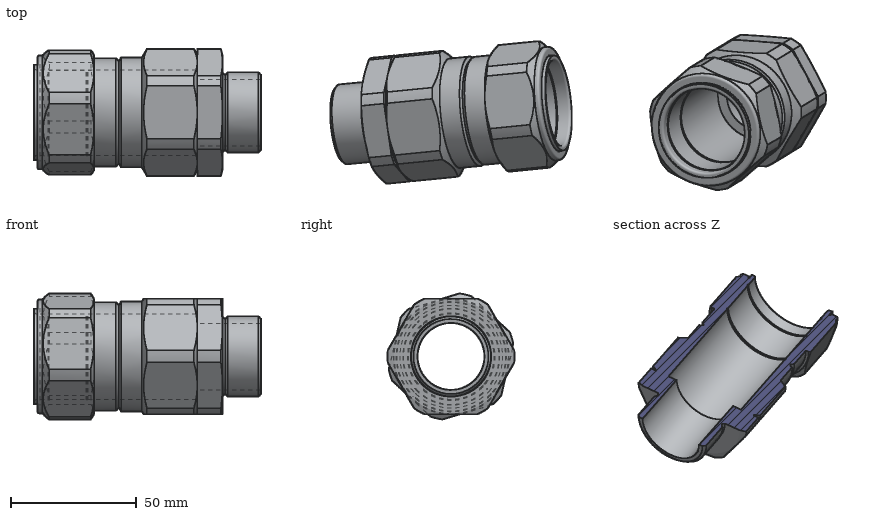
import cadquery as cq
import math

across_flats = 46.0
corner_radius = 0.55 * across_flats
flat_radius = across_flats / 2
nut_turn = 16.95
hex_chamfer_angle = 30.0

nut_face_x = 1.36
nut_lip_end_x = 3.4
liner_gap_depth = 1.0
nut_end_x = 23.95
sleeve_end_x = 33.8
ring_end_x = 42.8
entry_start_x = 64.9
entry_end_x = 75.0
neck_x = 75.95
total_length = 90.25

liner_radius = 19.0
nut_mouth_radius = 19.25
nut_lip_radius = 22.7
sleeve_radius = 21.6
ring_radius = 21.9
seam_groove_radius = 20.4
entry_thread_radius = 16.0
neck_radius = 14.9

nut_lip_fillet = 1.0
nut_rear_radius = 22.8
entry_rear_radius = 22.6
entry_chamfer_angle = 15.0
sleeve_chamfer = sleeve_radius - seam_groove_radius
ring_chamfer_length = 0.8
ring_end_flare = 0.35
neck_lip_radius = 15.8
thread_chamfer = entry_thread_radius - neck_radius

liner_bore_radius = 17.0
liner_mouth_fillet = 1.0
seam_x = 5.5
seam_width = 0.4
seam_depth = 0.3
liner_end_x = 20.6
liner_groove_width = 0.8
liner_groove_depth = liner_groove_width / 2
chamber_end_x = entry_start_x
through_bore_radius = 13.25


def revolve_profile(points):
    """Turn a closed (x, radius) outline about the X axis."""
    return cq.Workplane("XY").polyline(points).close().revolve(360, (0, 0, 0), (1, 0, 0))


def cylinder(start, end, radius):
    return cq.Workplane("YZ").workplane(offset=start).circle(radius).extrude(end - start)


def chamfer_length(start_radius, end_radius, angle):
    return (end_radius - start_radius) * math.tan(math.radians(angle))


def hexagon(envelope, start, end, turn=0.0):
    """Hexagonal prism with corners on +/-Y, trimmed by a turned envelope."""
    prism = (
        cq.Workplane("YZ")
        .workplane(offset=start)
        .polygon(6, across_flats / math.cos(math.pi / 6))
        .extrude(end - start)
        .rotate((0, 0, 0), (1, 0, 0), turn)
    )
    return prism.intersect(revolve_profile(envelope))


def make_nut():
    front_chamfer = corner_radius - nut_lip_radius
    rear_chamfer = chamfer_length(nut_rear_radius, corner_radius, hex_chamfer_angle)
    envelope = [
        (nut_lip_end_x, 0),
        (nut_lip_end_x, nut_lip_radius),
        (nut_lip_end_x + front_chamfer, corner_radius),
        (nut_end_x - rear_chamfer, corner_radius),
        (nut_end_x, nut_rear_radius),
        (nut_end_x, 0),
    ]
    lip = cylinder(nut_face_x, nut_lip_end_x, nut_lip_radius).faces("<X").edges().fillet(nut_lip_fillet)
    return lip.union(hexagon(envelope, nut_lip_end_x, nut_end_x, nut_turn))


def make_sleeve_and_ring():
    return revolve_profile([
        (nut_end_x, 0),
        (nut_end_x, sleeve_radius),
        (sleeve_end_x - sleeve_chamfer, sleeve_radius),
        (sleeve_end_x, seam_groove_radius),
        (sleeve_end_x + ring_chamfer_length, ring_radius),
        (ring_end_x, ring_radius),
        (ring_end_x, 0),
    ])


def make_body_hexagon():
    flare_end_x = ring_end_x + ring_end_flare
    flare_radius = ring_radius + ring_end_flare
    front_chamfer = chamfer_length(flare_radius, corner_radius, hex_chamfer_angle)
    rear_chamfer = chamfer_length(flat_radius, corner_radius, hex_chamfer_angle)
    envelope = [
        (ring_end_x, 0),
        (ring_end_x, ring_radius),
        (flare_end_x, flare_radius),
        (flare_end_x + front_chamfer, corner_radius),
        (entry_start_x - rear_chamfer, corner_radius),
        (entry_start_x, flat_radius),
        (entry_start_x, 0),
    ]
    return hexagon(envelope, ring_end_x, entry_start_x)


def make_entry_hexagon():
    rear_chamfer = chamfer_length(entry_rear_radius, corner_radius, entry_chamfer_angle)
    envelope = [
        (entry_start_x, 0),
        (entry_start_x, corner_radius),
        (entry_end_x - rear_chamfer, corner_radius),
        (entry_end_x, entry_rear_radius),
        (entry_end_x, 0),
    ]
    return hexagon(envelope, entry_start_x, entry_end_x)


def make_entry_thread():
    return revolve_profile([
        (entry_end_x, 0),
        (entry_end_x, neck_lip_radius),
        (neck_x, neck_radius),
        (neck_x + thread_chamfer, entry_thread_radius),
        (total_length - thread_chamfer, entry_thread_radius),
        (total_length, neck_radius),
        (total_length, 0),
    ])


def make_bore():
    """Rounded mouth, chamber with two fine grooves, then the narrower through bore."""
    seam_radius = liner_bore_radius + seam_depth
    groove_radius = liner_bore_radius + liner_groove_depth
    mouth_mid = liner_mouth_fillet * (1 - math.sqrt(0.5))
    return (
        cq.Workplane("XY")
        .moveTo(0, 0)
        .lineTo(0, liner_bore_radius + liner_mouth_fillet)
        .threePointArc(
            (mouth_mid, liner_bore_radius + mouth_mid),
            (liner_mouth_fillet, liner_bore_radius),
        )
        .lineTo(seam_x, liner_bore_radius)
        .lineTo(seam_x, seam_radius)
        .lineTo(seam_x + seam_width, seam_radius)
        .lineTo(seam_x + seam_width, liner_bore_radius)
        .lineTo(liner_end_x, liner_bore_radius)
        .lineTo(liner_end_x + liner_groove_width / 2, groove_radius)
        .lineTo(liner_end_x + liner_groove_width, liner_bore_radius)
        .lineTo(chamber_end_x, liner_bore_radius)
        .lineTo(chamber_end_x, through_bore_radius)
        .lineTo(total_length, through_bore_radius)
        .lineTo(total_length, 0)
        .close()
        .revolve(360, (0, 0, 0), (1, 0, 0))
    )


def make_liner_gap():
    """Thin ring-shaped gap between the liner and the mouth of the nut."""
    gap_end_x = nut_face_x + liner_gap_depth
    mouth = cylinder(nut_face_x, gap_end_x, nut_mouth_radius)
    return mouth.cut(cylinder(nut_face_x, gap_end_x, liner_radius))


liner = cylinder(0, nut_face_x, liner_radius)
outside = (
    liner.union(make_nut())
    .union(make_sleeve_and_ring())
    .union(make_body_hexagon())
    .union(make_entry_hexagon())
    .union(make_entry_thread())
)
result = outside.cut(make_liner_gap()).cut(make_bore())